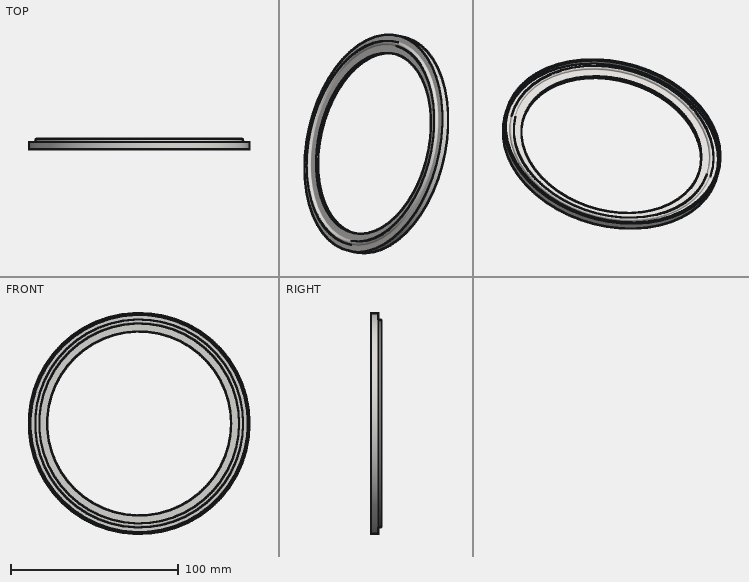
import cadquery as cq
import math

outer_diameter = 132.2
bore_diameter = 109.9
total_width = 6.4

web_thickness = 1.8
lip_inner_diameter = 130.0

bead_outer_diameter = 124.4
bead_inner_diameter = 119.6
bead_wall = 0.7
bead_foot_fillet = 0.4
bead_crest_radius = (bead_outer_diameter - bead_inner_diameter) / 4
bead_height = bead_wall + bead_crest_radius

web_front_y = total_width - bead_height - web_thickness
web_back_y = web_front_y + web_thickness


def tube(inner_diameter, tube_outer_diameter, y_start, y_end):
    """Plain tube about the Y axis between two Y positions."""
    return (
        cq.Workplane("XZ", origin=(0, y_start, 0))
        .circle(tube_outer_diameter / 2)
        .circle(inner_diameter / 2)
        .extrude(y_start - y_end)
    )


def sealing_bead(face_y, direction):
    """Round-crested ring on a web face, rising along Y (direction is +1 or -1), with filleted feet."""
    inner_radius = bead_inner_diameter / 2
    outer_radius = bead_outer_diameter / 2
    crest_center_radius = (inner_radius + outer_radius) / 2
    fillet_end_y = face_y + direction * bead_foot_fillet
    shoulder_y = face_y + direction * bead_wall
    crest_y = face_y + direction * bead_height
    root_y = face_y - direction * web_thickness / 2
    foot_inner_radius = inner_radius - bead_foot_fillet
    foot_outer_radius = outer_radius + bead_foot_fillet
    fillet_sag = bead_foot_fillet * (1 - math.sqrt(0.5))
    fillet_mid_y = face_y + direction * fillet_sag
    return (
        cq.Workplane("XY")
        .moveTo(foot_inner_radius, root_y)
        .lineTo(foot_inner_radius, face_y)
        .threePointArc((inner_radius - fillet_sag, fillet_mid_y), (inner_radius, fillet_end_y))
        .lineTo(inner_radius, shoulder_y)
        .threePointArc((crest_center_radius, crest_y), (outer_radius, shoulder_y))
        .lineTo(outer_radius, fillet_end_y)
        .threePointArc((outer_radius + fillet_sag, fillet_mid_y), (foot_outer_radius, face_y))
        .lineTo(foot_outer_radius, root_y)
        .close()
        .revolve(360, (0, 0, 0), (0, 1, 0))
    )


web = tube(bore_diameter, outer_diameter, web_front_y, web_back_y)
lip = tube(lip_inner_diameter, outer_diameter, 0, web_front_y)
front_bead = sealing_bead(web_front_y, -1)
back_bead = sealing_bead(web_back_y, 1)

result = web.union(lip).union(front_bead).union(back_bead)